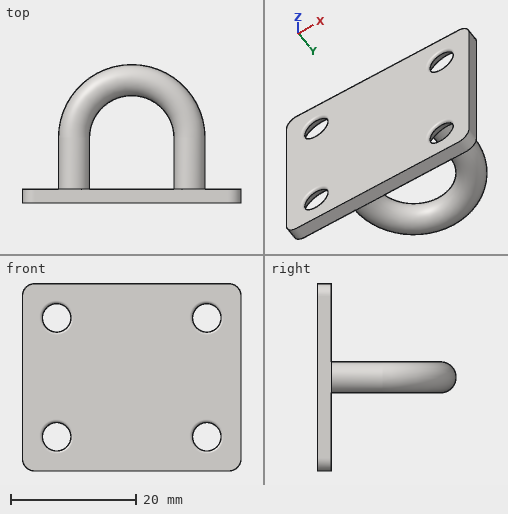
import cadquery as cq
import math

plate_width = 35.0
plate_height = 30.0
plate_thickness = 2.25
corner_radius = 2.0

hole_spacing_x = 24.0
hole_spacing_z = 19.0
hole_radius = 4.5 / 2
rim_radius = 0.5
countersink_radius = hole_radius + plate_thickness - rim_radius

overall_depth = 22.2
rod_diameter = 5.0
bend_radius = 9.25
bend_start_y = overall_depth - bend_radius - rod_diameter / 2


def make_plate():
    return (
        cq.Workplane("XZ")
        .rect(plate_width, plate_height)
        .extrude(-plate_thickness)
        .edges("|Y")
        .fillet(corner_radius)
    )


def make_hole_cutter():
    mid_rim = rim_radius * math.sqrt(0.5)
    rim_centre_x = hole_radius + rim_radius
    return (
        cq.Workplane("XY")
        .lineTo(rim_centre_x, 0)
        .threePointArc((rim_centre_x - mid_rim, rim_radius - mid_rim), (hole_radius, rim_radius))
        .lineTo(countersink_radius, plate_thickness)
        .lineTo(0, plate_thickness)
        .close()
        .revolve(360, (0, 0, 0), (0, 1, 0))
    )


def make_bow():
    centreline = (
        cq.Workplane("XY")
        .moveTo(-bend_radius, plate_thickness)
        .lineTo(-bend_radius, bend_start_y)
        .threePointArc((0, bend_start_y + bend_radius), (bend_radius, bend_start_y))
        .lineTo(bend_radius, plate_thickness)
    )
    return (
        cq.Workplane("XZ", origin=(-bend_radius, plate_thickness, 0))
        .circle(rod_diameter / 2)
        .sweep(centreline)
    )


plate = make_plate()
hole_cutter = make_hole_cutter()
for side_x in (-1, 1):
    for side_z in (-1, 1):
        hole_position = (side_x * hole_spacing_x / 2, 0, side_z * hole_spacing_z / 2)
        plate = plate.cut(hole_cutter.translate(hole_position))

result = plate.union(make_bow())